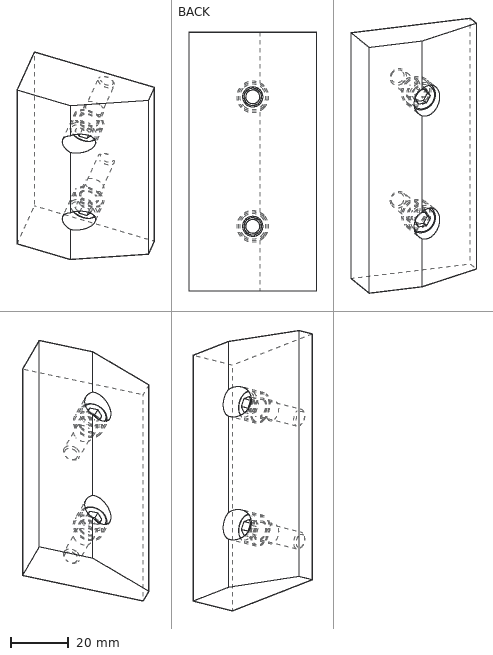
import cadquery as cq
import math

HEIGHT = 90.0
WIDTH = 44.5
THICKNESS = 17.55
FLAT_WIDTH = 19.7
THIN_EDGE = 6.0

SHANK_DIAMETER = 6.0
SHANK_LENGTH = 18.0
SHANK_PROTRUSION = 12.5
SHANK_CHAMFER = 0.6
HEAD_DIAMETER = 10.0
HEAD_HEIGHT = SHANK_DIAMETER
HEAD_CHAMFER = 0.5
SOCKET_ACROSS_FLATS = 5.0
SOCKET_DEPTH = 3.0

CLEARANCE_DIAMETER = 7.0
COUNTERBORE_DIAMETER = 11.0
SCREW_X = WIDTH / 2
SCREW_INSET = HEIGHT / 4
SCREW_HEIGHTS = [SCREW_INSET, HEIGHT - SCREW_INSET]
SEAT_Y = SHANK_PROTRUSION - SHANK_LENGTH


def rod(diameter, y_start, y_end, z):
    """Round bar on a screw axis, running towards +Y."""
    bar = cq.Workplane("XY").circle(diameter / 2).extrude(y_end - y_start)
    return bar.rotate((0, 0, 0), (1, 0, 0), -90).translate((SCREW_X, y_start, z))


def make_block():
    """Wedge block with a counterbored hole for each screw."""
    profile = [
        (0, 0),
        (0, -THICKNESS),
        (FLAT_WIDTH, -THICKNESS),
        (WIDTH, -THIN_EDGE),
        (WIDTH, 0),
    ]
    body = cq.Workplane("XY").polyline(profile).close().extrude(HEIGHT)
    for z in SCREW_HEIGHTS:
        body = body.cut(rod(CLEARANCE_DIAMETER, -THICKNESS, 0, z))
        body = body.cut(rod(COUNTERBORE_DIAMETER, -THICKNESS, SEAT_Y, z))
    return body


def make_screw(z):
    """Socket head screw seated on the counterbore floor."""
    head_top_y = SEAT_Y - HEAD_HEIGHT
    head = rod(HEAD_DIAMETER, head_top_y, SEAT_Y, z).faces("<Y").chamfer(HEAD_CHAMFER)
    shank = rod(SHANK_DIAMETER, SEAT_Y, SHANK_PROTRUSION, z).faces(">Y").chamfer(SHANK_CHAMFER)
    across_corners = SOCKET_ACROSS_FLATS / math.cos(math.pi / 6)
    socket = (
        cq.Workplane("XZ", origin=(SCREW_X, head_top_y, z))
        .polygon(6, across_corners)
        .extrude(-SOCKET_DEPTH)
    )
    return head.union(shank).cut(socket)


block = make_block()
screws = [make_screw(z) for z in SCREW_HEIGHTS]

result = cq.Compound.makeCompound([block.val(), *[screw.val() for screw in screws]])